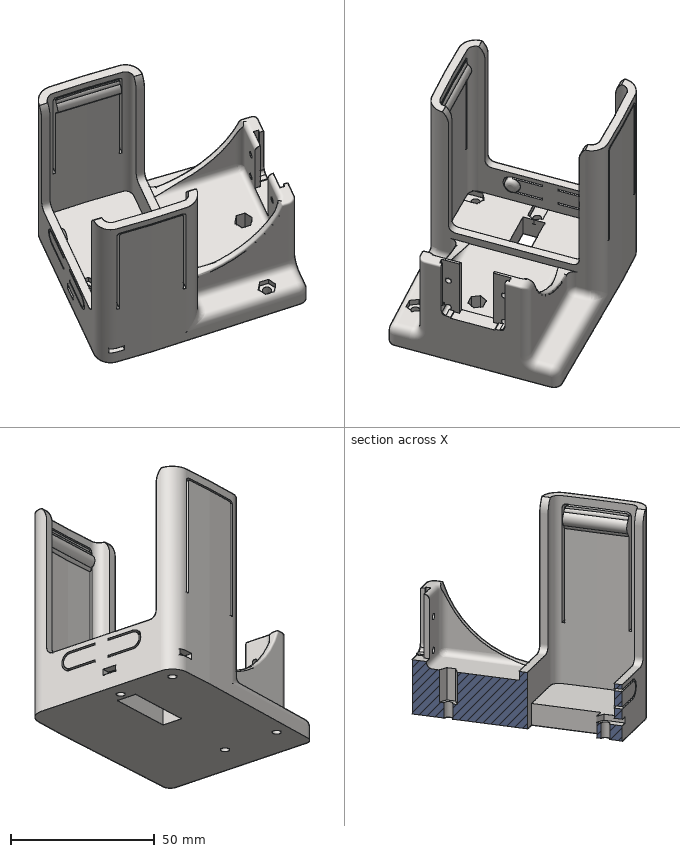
import cadquery as cq
import math

width = 66.2
length = 78.0
height = 78.0
rear_y = length / 2
front_y = -length / 2
max_half_width = width / 2
widest_y = -19.9
side_slope = math.tan(math.radians(1))

wall = 3.1
cup_back_y = -0.7
cup_corner_radius = 6.3
floor_z = 8.1
opening_half_width = 24.3
opening_bottom_z = 21.1
opening_corner_radius = 2.7
lip_flare_width = 2.3
lip_flare_height = 5.3
floor_slot_x = (-0.55, 7.65)
floor_slot_front_y = -29.4

flange_z = 8.1
edge_radius = 3.1
blend_radius = 2.7
cradle_half_width = 20.75
cradle_wall = 2.4
cradle_top_z = 44.15
cradle_floor_z = 17.9
cradle_corner_radius = 2.6
rear_floor_radius = 2.0
rim_radius = 0.7
scoop_radius = 38.45
scoop_y = -2.7
scoop_bottom_z = 17.95

plate_front_y = 33.55
plate_rear_y = 35.6
plate_round_margin = 0.01
plate_round = plate_rear_y - plate_front_y - plate_round_margin
gap_half_width = 6.3
gap_bottom_z = 20.35
recess_half_width = 11.9
recess_corner_radius = 2.8
recess_step_half_width = 8.3
recess_step = 0.5
groove_half_width = 12.95
groove_rear_y = 37.3
mount_hole_x = 10.45
mount_hole_z = (22.0, 34.6)
mount_hole_diameter = 2.2

screw_x = (3.6, 26.6)
screw_y = (-32.7, 25.5)
screw_diameter = 3.1
nut_flats = 5.6
nut_bottom_z = 5.85

front_slit = 0.7
front_slit_radius = 3.6
front_slit_end_x = 2.9
front_tongue_x = 14.0
front_tongue_z = 15.7
bump_height = 1.9
bump_round = 1.55

side_slit = 0.9
side_slit_top = 0.6
side_slit_radius = 1.55
side_tongue_y = (-31.75, -7.95)
side_tongue_z = (30.8, 74.3)
ridge_z = 69.65
ridge_half_height = 3.9
ridge_height = 2.35
ridge_foot_share = 0.35

reach = 46.8
tol = 0.1


def box(x, y, z):
    """Box from three (low, high) ranges."""
    solid = cq.Workplane("XY").box(x[1] - x[0], y[1] - y[0], z[1] - z[0], centered=False)
    return solid.translate((x[0], y[0], z[0]))


def region(x, y, z):
    """Selector for the edges lying wholly inside a box of three ranges."""
    return cq.selectors.BoxSelector(*zip(x, y, z), boundingbox=True)


def around(value):
    return (value - tol, value + tol)


def both_sides(half):
    return (-half, half)


def half_width(y):
    return max_half_width - abs(y - widest_y) * side_slope


def plan(back_y, inset=0.0):
    """Plan outline up to back_y, widest at widest_y, moved in by inset."""
    stations = (front_y + inset, widest_y, back_y - inset)
    right = [(half_width(y) - inset, y) for y in stations]
    left = [(-x, y) for x, y in reversed(right)]
    return cq.Workplane("XY").polyline(right + left).close()


def make_cradle_block():
    """Solid block of the cradle, square at the rear."""
    return box(both_sides(cradle_half_width), (cup_back_y - wall / 2, rear_y), (0, cradle_top_z))


def make_flange_and_block():
    """Base plate and cradle block, blended and rounded behind the cup."""
    level = around(flange_z)
    plate = plan(rear_y).extrude(flange_z).edges("|Z and <Y").fillet(cup_corner_radius)
    body = plate.union(make_cradle_block())
    right_foot = body.edges(region(around(cradle_half_width), (cup_back_y - wall, rear_y + tol), level))
    left_foot = body.edges(region(around(-cradle_half_width), (cup_back_y - wall, rear_y + tol), level))
    body = right_foot.add(left_foot).fillet(blend_radius)

    edges = body.edges("|Z and >Y")
    rear_z = (flange_z - tol, cradle_top_z - tol)
    edges = edges.add(body.edges(region(both_sides(reach), around(rear_y), rear_z)))
    side_x = (half_width(rear_y) - tol, max_half_width + tol)
    side_y = (widest_y - tol, rear_y + tol)
    edges = edges.add(body.edges(region(side_x, side_y, level)))
    edges = edges.add(body.edges(region((-side_x[1], -side_x[0]), side_y, level)))
    body = edges.fillet(edge_radius)

    under_cup = box(both_sides(reach), (front_y, cup_back_y - cup_corner_radius), (0, flange_z))
    return body.union(plate.intersect(under_cup))


def make_cup():
    return plan(cup_back_y).extrude(height).edges("|Z").edges("<Y or >Y").fillet(cup_corner_radius)


def blend_cup(body):
    """Concave fillet all along the foot of the cup's back wall."""
    joint_x = both_sides(half_width(cup_back_y) - blend_radius)
    joint_y = (cup_back_y - edge_radius / 2, cup_back_y + tol)
    joint_z = (flange_z - tol, cradle_top_z + tol)
    return body.edges(region(joint_x, joint_y, joint_z)).fillet(blend_radius)


def scoop_cutter():
    """Cylinder across the cradle that shapes the curved top of its walls."""
    cylinder = cq.Workplane("YZ").center(scoop_y, scoop_bottom_z + scoop_radius).circle(scoop_radius)
    cylinder = cylinder.extrude(cradle_half_width + blend_radius, both=True)
    return cylinder.intersect(box(both_sides(reach), (cup_back_y, rear_y), (0, height)))


def top_left_corner():
    """Waste outside the rounding along the top of the left wall."""
    low_z = cradle_top_z - edge_radius
    center_x = edge_radius - cradle_half_width
    corner = box((-cradle_half_width, center_x), (cup_back_y, rear_y), (low_z, cradle_top_z))
    rod = cq.Workplane("XZ").center(center_x, low_z).circle(edge_radius).extrude(-rear_y)
    return corner.cut(rod)


def rim_waste():
    """Waste outside the rounded outer rims of the scooped walls."""
    half = cradle_half_width
    behind_cup = (cup_back_y, rear_y)
    block = make_cradle_block().edges("|Z and >Y").fillet(edge_radius)
    block = block.intersect(box(both_sides(reach), behind_cup, (0, height)))
    shaped = block.cut(scoop_cutter()).cut(top_left_corner())

    wall_y = (cup_back_y - tol, rear_y - edge_radius + tol)
    rim_z = (scoop_bottom_z, cradle_top_z + tol)
    right_rim = region(around(half), wall_y, rim_z)
    left_rim = region((-half - tol, edge_radius - half + tol), (cup_back_y - tol, plate_rear_y), rim_z)
    rear_rim = region((-half, half + tol), (rear_y - edge_radius - tol, rear_y + tol), around(cradle_top_z))
    rims = shaped.edges(right_rim).add(shaped.edges(left_rim))
    rims = rims.add(shaped.edges(rear_rim).edges("not |Y"))
    shaped = rims.fillet(rim_radius)

    clear_of_blend = box(both_sides(reach), (cup_back_y + blend_radius, rear_y), (0, height))
    return block.cut(shaped).intersect(clear_of_blend)


def cradle_pocket():
    """Space inside the cradle, flared at the top to round the inner edge."""
    inner = cradle_half_width - cradle_wall
    depth = (cup_back_y, plate_front_y)
    pocket = box(both_sides(inner), depth, (cradle_floor_z, cradle_top_z))
    corners = pocket.edges("|Z and >Y").add(pocket.faces("<Z").edges("|Y"))
    pocket = corners.fillet(cradle_corner_radius)
    pocket = pocket.faces("<Z").edges(">Y").fillet(rear_floor_radius)

    block = box(both_sides(cradle_half_width), (cup_back_y, rear_y), (scoop_bottom_z - wall, cradle_top_z))
    lip = region(both_sides(inner + tol), (cup_back_y - tol, plate_front_y + tol), around(cradle_top_z))
    lined = block.cut(pocket).edges(lip).fillet(plate_round)
    return block.cut(lined)


def back_plate_cutter():
    """Central gap, rear recess, board groove and mounting holes."""
    above_plate = cradle_top_z + tol
    gap = box(both_sides(gap_half_width), (plate_front_y - tol, rear_y), (gap_bottom_z, above_plate))

    recess_bottom_z = gap_bottom_z + recess_step
    recess = box(both_sides(recess_half_width), (plate_rear_y, rear_y), (recess_bottom_z, above_plate))
    recess = recess.edges("|Y and <Z").fillet(recess_corner_radius)
    step_z = (gap_bottom_z, above_plate)
    step = box(both_sides(recess_step_half_width), (plate_rear_y, rear_y), step_z)

    groove_z = (recess_bottom_z + recess_corner_radius, above_plate)
    groove = box(both_sides(groove_half_width), (plate_rear_y, groove_rear_y), groove_z)

    hole_places = [(x, z) for x in (-mount_hole_x, mount_hole_x) for z in mount_hole_z]
    holes = cq.Workplane("XZ", origin=(0, plate_front_y - tol, 0)).pushPoints(hole_places)
    holes = holes.circle(mount_hole_diameter / 2).extrude(plate_front_y - rear_y)
    return gap.union(recess).union(step).union(groove).union(holes)


def cup_cavity():
    cavity = plan(cup_back_y, wall).extrude(height - floor_z).translate((0, 0, floor_z))
    return cavity.edges("|Z").edges("<Y or >Y").fillet(cup_corner_radius - wall)


def cup_opening():
    """Opening through the front and back walls, flared at the top."""
    half = opening_half_width
    flare_z = height - lip_flare_height
    flare_x = half + lip_flare_width
    flare_radius = (lip_flare_width**2 + lip_flare_height**2) / (2 * lip_flare_width)
    outline = (
        cq.Workplane("XZ", origin=(0, cup_back_y, 0))
        .moveTo(-half, opening_bottom_z)
        .lineTo(half, opening_bottom_z)
        .lineTo(half, flare_z)
        .radiusArc((flare_x, height), flare_radius)
        .lineTo(-flare_x, height)
        .radiusArc((-half, flare_z), flare_radius)
        .close()
    )
    opening = outline.extrude(cup_back_y - front_y)
    return opening.edges("|Y and <Z").fillet(opening_corner_radius)


def hexagon(x, y, top_z, turn):
    """Nut pocket with a corner pointing along X, then turned about its axis."""
    corner_diameter = nut_flats / math.cos(math.pi / 6)
    prism = cq.Workplane("XY").polygon(6, corner_diameter).extrude(top_z - nut_bottom_z)
    return prism.rotate((0, 0, 0), (0, 0, 1), turn).translate((x, y, nut_bottom_z))


def screw_cutter():
    places = [(x, y) for x in screw_x for y in screw_y]
    cutter = cq.Workplane("XY").pushPoints(places).circle(screw_diameter / 2).extrude(height)

    for x in screw_x:
        cutter = cutter.union(hexagon(x, screw_y[1], cradle_top_z, 90))

    middle_x, right_x = screw_x
    nut_y = screw_y[0]
    half = nut_flats / 2
    nut_z = (nut_bottom_z, floor_z)
    cutter = cutter.union(hexagon(middle_x, nut_y, floor_z, 90))
    cutter = cutter.union(box((middle_x - half, middle_x + half), (-reach, nut_y), nut_z))
    cutter = cutter.union(hexagon(right_x, nut_y, floor_z, 0))
    return cutter.union(box((right_x, reach), (nut_y - half, nut_y + half), nut_z))


def front_slit_cutter(side):
    """C-shaped slit through the front wall around a round-ended tongue."""
    def rounded_end(radius):
        disc = cq.Workplane("XZ", origin=(0, front_y, 0)).center(side * front_tongue_x, front_tongue_z)
        disc = disc.circle(radius).extrude(-wall)
        x = sorted((side * front_slit_end_x, side * front_tongue_x))
        z = (front_tongue_z - radius, front_tongue_z + radius)
        return disc.union(box(x, (front_y, front_y + wall), z))

    return rounded_end(front_slit_radius).cut(rounded_end(front_slit_radius - front_slit))


def front_bump(side):
    """Rounded button inside the front wall at the end of a tongue."""
    face = cq.Workplane("XZ", origin=(0, front_y + wall, 0)).center(side * front_tongue_x, front_tongue_z)
    button = face.circle(front_slit_radius - front_slit).extrude(-bump_height)
    return button.faces(">Y").edges().fillet(bump_round)


def side_slit_cutter():
    """U-shaped slit, open end down, through both side walls."""
    y_low, y_high = side_tongue_y
    z_low, z_high = side_tongue_z
    outer_y = (y_low - side_slit, y_high + side_slit)
    outer = box(both_sides(reach), outer_y, (z_low, z_high + side_slit_top))
    outer = outer.edges("|X and >Z").fillet(side_slit_radius)
    inner = box(both_sides(reach), side_tongue_y, side_tongue_z)
    inner = inner.edges("|X and >Z").fillet(side_slit_radius - side_slit_top)
    return outer.cut(inner)


def side_ridge():
    """Smooth ridge along the left tongue: a crown arc between two foot arcs."""
    face_x = wall - max_half_width
    half = ridge_half_height
    radius_sum = (half**2 + ridge_height**2) / (2 * ridge_height)
    foot_radius = ridge_foot_share * radius_sum
    turn_x = face_x + ridge_foot_share * ridge_height
    turn_rise = half * (1 - ridge_foot_share)
    buried_x = face_x - wall / 2
    profile = (
        cq.Workplane("XZ", origin=(0, side_tongue_y[0], 0))
        .moveTo(buried_x, ridge_z - half)
        .lineTo(face_x, ridge_z - half)
        .radiusArc((turn_x, ridge_z - turn_rise), -foot_radius)
        .threePointArc((face_x + ridge_height, ridge_z), (turn_x, ridge_z + turn_rise))
        .radiusArc((face_x, ridge_z + half), -foot_radius)
        .lineTo(buried_x, ridge_z + half)
        .close()
    )
    return profile.extrude(side_tongue_y[0] - side_tongue_y[1])


result = blend_cup(make_flange_and_block().union(make_cup()))
result = result.cut(scoop_cutter()).cut(rim_waste()).cut(top_left_corner())
result = result.cut(cradle_pocket()).cut(back_plate_cutter())
result = result.cut(cup_cavity()).cut(cup_opening())
result = result.cut(box(floor_slot_x, (floor_slot_front_y, cup_back_y - wall), (0, floor_z)))
result = result.cut(screw_cutter()).cut(side_slit_cutter())

left_ridge = side_ridge()
result = result.union(left_ridge).union(left_ridge.mirror("YZ"))
for side in (-1, 1):
    result = result.cut(front_slit_cutter(side)).union(front_bump(side))